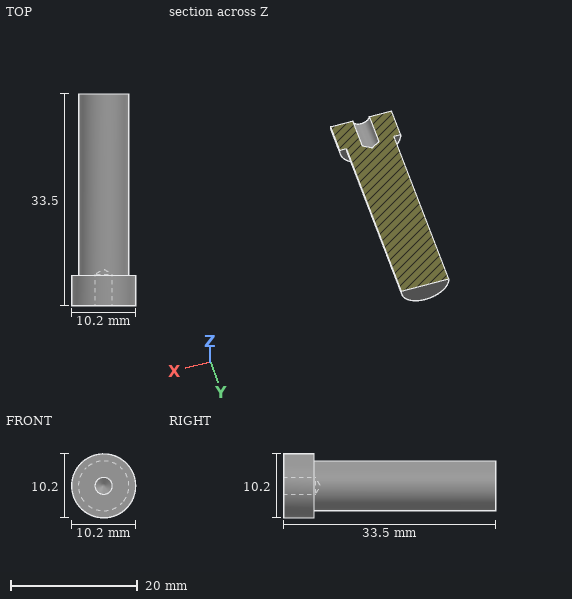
import cadquery as cq
import math

head_diameter = 10.16
head_length = 4.83
shank_diameter = 7.93
overall_length = 33.53

hole_diameter = 2.7
hole_depth = 5.0
drill_point_angle = 118.0


def cylinder_along_y(diameter, start, length):
    """Solid cylinder on the Y axis running from start towards +Y."""
    plane = cq.Plane(origin=(0, start, 0), xDir=(1, 0, 0), normal=(0, 1, 0))
    return cq.Workplane(plane).circle(diameter / 2).extrude(length)


def drilled_hole():
    """Straight bore with a conical drill point, revolved about the Y axis."""
    radius = hole_diameter / 2
    point_length = radius / math.tan(math.radians(drill_point_angle / 2))
    return (
        cq.Workplane("XY")
        .lineTo(radius, 0)
        .lineTo(radius, hole_depth)
        .lineTo(0, hole_depth + point_length)
        .close()
        .revolve(360, (0, 0, 0), (0, 1, 0))
    )


head = cylinder_along_y(head_diameter, 0, head_length)
shank = cylinder_along_y(shank_diameter, head_length, overall_length - head_length)

result = head.union(shank).cut(drilled_hole())